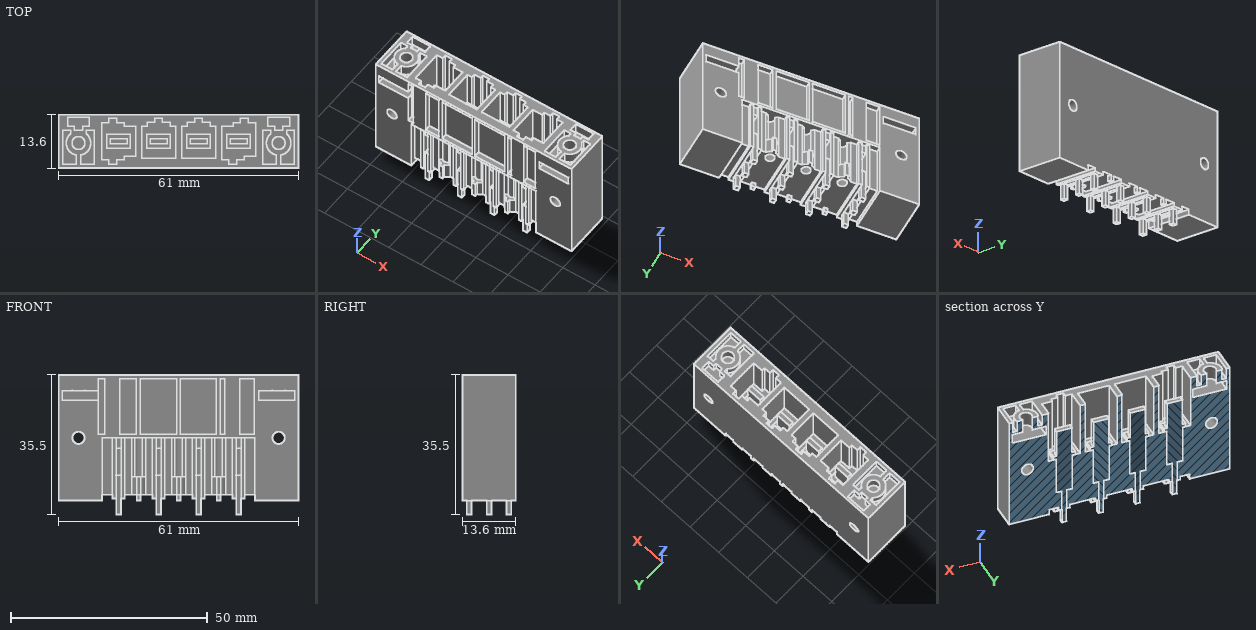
import cadquery as cq
import math

LENGTH = 60.95
DEPTH = 13.6
HEIGHT = 31.95
FRONT = -DEPTH / 2
REAR = DEPTH / 2

POLES = 4
OUTER_POLE_SPAN = 30.5
PITCH = OUTER_POLE_SPAN / (POLES - 1)
POLE_XS = [(i - (POLES - 1) / 2) * PITCH for i in range(POLES)]
POST_XS = [(i - (POLES - 2) / 2) * PITCH for i in range(POLES - 1)]

EAR_INNER_X = 19.4
SHELF_Z = 16.05
WALL_Y = -5.2
FLOOR_Z = 1.45

CAVITY_FLOOR_Z = 16.95
CAVITY_HALF = 4.3
SHOULDER_Y = 3.8
STEP_Y = 4.7
KEY_Y = 5.85
MID_STEP_Y = 4.9
MID_FRONT_Y = -4.3
MID_STEP_X = 2.9
MID_KEY_X = 1.0
SIDE_KEY_OUTER = 2.5
SIDE_KEY_INNER = 0.5
SIDE_STEP_X = 1.4

WINDOW_SPANS = [(-20.35, -18.8), (-14.9, -10.8), (-9.75, -0.5), (0.4, 9.65), (10.6, 11.75), (15.55, 19.25)]
WINDOW_BOTTOM = CAVITY_FLOOR_Z
WINDOW_TOP = 31.0

EAR_X = 25.4
EAR_HOLE_R = 1.5
POCKET_DEPTH = 3.05
POCKET_HALF = 4.0
POCKET_FRONT_Y = -5.8
POCKET_REAR_Y = 2.85
RING_Y = -0.4
RING_R = 3.1
RING_BORE_R = 1.65
NECK_WIDTH = 4.0
RING_RIB_WIDTH = 1.1
BOX_WIDTH = 5.55
BOX_FRONT_Y = 3.8
BOX_REAR_Y = 6.15
NOTCH_WIDTH = 2.1
NUT_SLOT_INNER = 20.35
NUT_SLOT_OUTER = 29.5
NUT_SLOT_BOTTOM = 25.55
NUT_SLOT_TOP = 28.0
NUT_SLOT_REAR_Y = 2.7

TAIL = 1.3
TAIL_PITCH = 5.05
TAIL_YS = [-TAIL_PITCH, 0, TAIL_PITCH]
TAIL_BOTTOM = -3.55
BAR_HALF = TAIL_PITCH + TAIL / 2
BAR_TOP = 6.45
BLADE_WIDTH = 4.3
BLADE_THICK = 1.3
BLADE_TOP = 25.6
COLLAR_WIDTH = 6.05
COLLAR_DEPTH = 3.5
COLLAR_THICK = 1.0

TOWER_WIDTH = 3.2
TOWER_FRONT = -6.3
TOWER_BOTTOM = 0.55
SLOT_TOP = 13.3

GROOVE_HALF = 1.75
GROOVE_FLANK_DEPTH = 0.5
GROOVE_MOUTH_HALF = 0.9
GROOVE_BORE_R = 1.2
GROOVE_FLANK_Y = WALL_Y + GROOVE_FLANK_DEPTH
POST_Y = GROOVE_FLANK_Y + math.sqrt(GROOVE_BORE_R**2 - GROOVE_MOUTH_HALF**2)
POST_R = math.hypot(GROOVE_HALF, POST_Y - WALL_Y)
POST_TOP = 6.05
POST_RIB_WIDTH = 1.05
FOOT_SIZE = POST_RIB_WIDTH


def block(x0, x1, y0, y1, z0, z1):
    """Axis-aligned box between the given limits."""
    return cq.Workplane("XY").box(x1 - x0, y1 - y0, z1 - z0, centered=False).translate((x0, y0, z0))


def centered_block(x, width, y0, y1, z0, z1):
    """Axis-aligned box centred on x."""
    return block(x - width / 2, x + width / 2, y0, y1, z0, z1)


def cylinder(x, y, radius, z0, z1):
    """Upright cylinder."""
    return cq.Workplane("XY", origin=(x, y, z0)).circle(radius).extrude(z1 - z0)


def cavity(x, points):
    """Plug cavity with the given outline around the pole centre, open at the top."""
    outline = cq.Workplane("XY", origin=(x, 0, CAVITY_FLOOR_Z)).polyline(points).close()
    return outline.extrude(HEIGHT - CAVITY_FLOOR_Z)


def stepped_side(y_sign):
    """Stepped key edge of an end cavity, from its left corner to its right corner."""
    return [
        (-CAVITY_HALF, y_sign * STEP_Y),
        (-SIDE_KEY_OUTER, y_sign * STEP_Y),
        (-SIDE_KEY_OUTER, y_sign * KEY_Y),
        (-SIDE_KEY_INNER, y_sign * KEY_Y),
        (-SIDE_KEY_INNER, y_sign * STEP_Y),
        (SIDE_STEP_X, y_sign * STEP_Y),
        (SIDE_STEP_X, y_sign * SHOULDER_Y),
        (CAVITY_HALF, y_sign * SHOULDER_Y),
    ]


def first_cavity_outline():
    """Both keys on the left."""
    return stepped_side(1) + stepped_side(-1)[::-1]


def last_cavity_outline():
    """Rear key on the right, front key on the left."""
    rear = [(-x, y) for x, y in stepped_side(1)]
    return rear + stepped_side(-1)


def middle_cavity_outline():
    """One central key at the rear and a flat front."""
    right = [
        (MID_KEY_X, KEY_Y),
        (MID_KEY_X, MID_STEP_Y),
        (MID_STEP_X, MID_STEP_Y),
        (MID_STEP_X, SHOULDER_Y),
        (CAVITY_HALF, SHOULDER_Y),
        (CAVITY_HALF, MID_FRONT_Y),
    ]
    return right + [(-x, y) for x, y in right[::-1]]


def ear_pockets(x):
    """Recesses in the top of an ear, leaving a ring held by a neck and a rib."""
    z0 = HEIGHT - POCKET_DEPTH
    pocket = centered_block(x, 2 * POCKET_HALF, POCKET_FRONT_Y, POCKET_REAR_Y, z0, HEIGHT)
    ring = cylinder(x, RING_Y, RING_R, z0, HEIGHT)
    neck = centered_block(x, NECK_WIDTH, RING_Y, POCKET_REAR_Y, z0, HEIGHT)
    rib = centered_block(x, RING_RIB_WIDTH, POCKET_FRONT_Y, RING_Y, z0, HEIGHT)
    box = centered_block(x, BOX_WIDTH, BOX_FRONT_Y, BOX_REAR_Y, z0, HEIGHT)
    notch = centered_block(x, NOTCH_WIDTH, POCKET_REAR_Y, BOX_FRONT_Y, z0, HEIGHT)
    return pocket.cut(ring).cut(neck).cut(rib).union(box).union(notch)


def ear_cuts(side):
    """All openings of one ear; side is -1 for the left ear and 1 for the right one."""
    x = side * EAR_X
    x0, x1 = sorted((side * NUT_SLOT_INNER, side * NUT_SLOT_OUTER))
    nut_slot = block(x0, x1, FRONT, NUT_SLOT_REAR_Y, NUT_SLOT_BOTTOM, NUT_SLOT_TOP)
    bore = cylinder(x, RING_Y, RING_BORE_R, NUT_SLOT_BOTTOM, HEIGHT)
    cross_hole = cq.Workplane("XZ", origin=(x, REAR, HEIGHT / 2)).circle(EAR_HOLE_R).extrude(DEPTH)
    return ear_pockets(x).union(nut_slot).union(bore).union(cross_hole)


def post(x):
    """Round post with a rib on its front, and a foot at the rear."""
    round_part = cylinder(x, POST_Y, POST_R, FLOOR_Z, POST_TOP)
    rib = centered_block(x, POST_RIB_WIDTH, FRONT, POST_Y, FLOOR_Z, POST_TOP)
    foot = centered_block(x, FOOT_SIZE, REAR - FOOT_SIZE, REAR, 0, FLOOR_Z)
    return round_part.union(rib).union(foot)


def post_bore(x):
    """Bore through the post, opened to the front above the post by sloping flanks."""
    bore = cylinder(x, POST_Y, GROOVE_BORE_R, FLOOR_Z, SHELF_Z)
    mouth = (
        cq.Workplane("XY", origin=(x, 0, POST_TOP))
        .moveTo(-GROOVE_HALF, WALL_Y)
        .lineTo(-GROOVE_MOUTH_HALF, GROOVE_FLANK_Y)
        .lineTo(GROOVE_MOUTH_HALF, GROOVE_FLANK_Y)
        .lineTo(GROOVE_HALF, WALL_Y)
        .close()
        .extrude(SHELF_Z - POST_TOP)
    )
    return bore.union(mouth)


def tower(x):
    """Tower around one terminal."""
    return centered_block(x, TOWER_WIDTH, TOWER_FRONT, REAR, TOWER_BOTTOM, SHELF_Z)


def tower_slot(x):
    """Deep slot for the terminal with a shallow groove above it."""
    deep = centered_block(x, TAIL, TOWER_FRONT, BAR_HALF, TOWER_BOTTOM, SLOT_TOP)
    shallow = centered_block(x, TAIL, TOWER_FRONT, -BAR_HALF, SLOT_TOP, SHELF_Z)
    return deep.union(shallow)


def terminal(x):
    """Contact blade on a cross bar with three solder tails."""
    body = centered_block(x, TAIL, -BAR_HALF, BAR_HALF, TOWER_BOTTOM, BAR_TOP)
    for y in TAIL_YS:
        body = body.union(centered_block(x, TAIL, y - TAIL / 2, y + TAIL / 2, TAIL_BOTTOM, TOWER_BOTTOM))
    blade = centered_block(x, BLADE_WIDTH, -BLADE_THICK / 2, BLADE_THICK / 2, BAR_TOP, BLADE_TOP)
    collar_top = CAVITY_FLOOR_Z + COLLAR_THICK
    collar = centered_block(
        x, COLLAR_WIDTH, -COLLAR_DEPTH / 2, COLLAR_DEPTH / 2, CAVITY_FLOOR_Z, collar_top
    )
    return body.union(blade).union(collar)


def build_housing(inserts):
    """Housing with its cavities, ears, towers and seats for the terminals."""
    body = block(-LENGTH / 2, LENGTH / 2, FRONT, REAR, 0, HEIGHT)

    body = body.cut(block(-EAR_INNER_X, EAR_INNER_X, FRONT, WALL_Y, 0, SHELF_Z))
    body = body.cut(block(-EAR_INNER_X, EAR_INNER_X, FRONT, REAR, 0, FLOOR_Z))
    for x in POST_XS:
        body = body.union(post(x)).cut(post_bore(x))
    for x in POLE_XS:
        body = body.union(tower(x)).cut(tower_slot(x))

    outlines = [first_cavity_outline()] + [middle_cavity_outline()] * (POLES - 2) + [last_cavity_outline()]
    for x, outline in zip(POLE_XS, outlines):
        body = body.cut(cavity(x, outline))

    for x0, x1 in WINDOW_SPANS:
        body = body.cut(block(x0, x1, FRONT, WALL_Y, WINDOW_BOTTOM, WINDOW_TOP))

    for side in (-1, 1):
        body = body.cut(ear_cuts(side))
    for piece in inserts:
        body = body.cut(piece)
    return body


terminals = [terminal(x) for x in POLE_XS]
housing = build_housing(terminals)

result = cq.Compound.makeCompound([housing.val(), *[piece.val() for piece in terminals]])